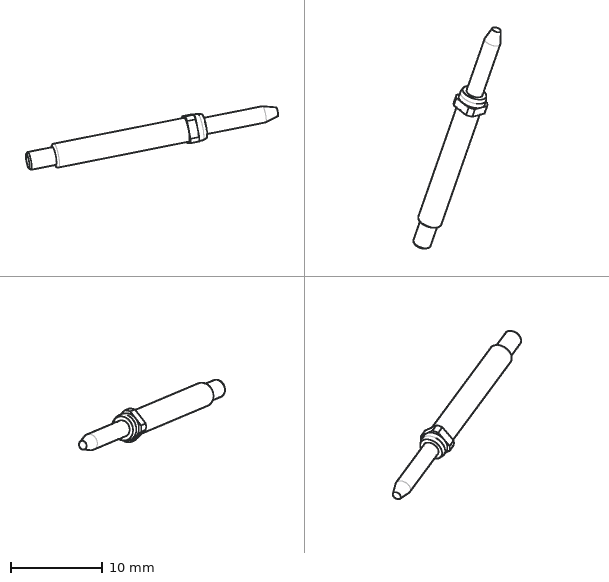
import cadquery as cq
import math

total_length = 28.3
taper_length = 1.5
collar_front = 8.3
collar_taper_length = 0.45
flange_front = 9.3
flange_thickness = 1.0
tail_length = 3.0

tip_dia = 1.0
pin_dia = 1.85
collar_nose_dia = 2.72
collar_dia = 3.0
sleeve_dia = 2.7
tail_dia = 2.0

flange_across_flats = 3.0
flange_corner_dia = 3.6

sleeve_fillet = 0.23
tail_chamfer = 0.2

tip_y = total_length / 2
tail_y = -total_length / 2
pin_y = tip_y - taper_length
collar_y = tip_y - collar_front
flange_y = tip_y - flange_front
sleeve_end_y = tail_y + tail_length


def make_turned_body():
    """Revolve the round profile, from the tip to the tail, about Y."""
    fillet_start_y = sleeve_end_y + sleeve_fillet
    fillet_offset = sleeve_fillet * math.sqrt(0.5)
    fillet_middle = (
        sleeve_dia / 2 - sleeve_fillet + fillet_offset,
        fillet_start_y - fillet_offset,
    )
    fillet_end = (sleeve_dia / 2 - sleeve_fillet, sleeve_end_y)
    profile = (
        cq.Workplane("XY")
        .moveTo(0, tip_y)
        .lineTo(tip_dia / 2, tip_y)
        .lineTo(pin_dia / 2, pin_y)
        .lineTo(pin_dia / 2, collar_y)
        .lineTo(collar_nose_dia / 2, collar_y)
        .lineTo(collar_dia / 2, collar_y - collar_taper_length)
        .lineTo(collar_dia / 2, flange_y)
        .lineTo(sleeve_dia / 2, flange_y)
        .lineTo(sleeve_dia / 2, fillet_start_y)
        .threePointArc(fillet_middle, fillet_end)
        .lineTo(tail_dia / 2, sleeve_end_y)
        .lineTo(tail_dia / 2, tail_y + tail_chamfer)
        .lineTo(tail_dia / 2 - tail_chamfer, tail_y)
        .lineTo(0, tail_y)
        .close()
    )
    return profile.revolve(360, (0, 0), (0, 1))


def make_flange():
    """Square plate turned 45 degrees, with its corners rounded about the axis."""
    front_face = cq.Workplane("XZ", origin=(0, flange_y, 0))
    square = (
        front_face.transformed(rotate=(0, 0, 45))
        .rect(flange_across_flats, flange_across_flats)
        .extrude(flange_thickness)
    )
    corner_cylinder = front_face.circle(flange_corner_dia / 2).extrude(flange_thickness)
    return square.intersect(corner_cylinder)


result = make_turned_body().union(make_flange())